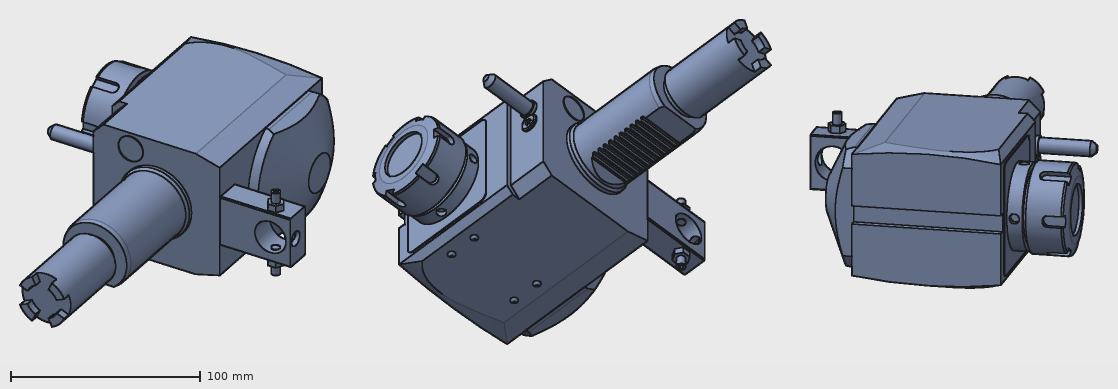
import cadquery as cq
import math


total_length = 222.5

housing_height = 75.0
half_height = housing_height / 2
housing_depth = 105.0
front_depth = 24.3
front_left = -39.0
rear_left = -41.8
housing_right = 39.0
front_chamfer = 6.2
rear_chamfer = 4.2
taper_start_x = 24.0
taper_drop = 4.0
shoulder_z = half_height - taper_drop
spindle_y = 69.0

relief_left_y = 91.7
relief_right_y = 92.5
relief_crest = [(-30.5, 97.7), (-17.1, 101.0), (1.3, 99.0)]
relief_back_z = 36.3

key_slot_width = 10.0
key_slot_depth = 4.2
pad_length = 58.3
pad_height = 63.0
pad_radius = 4.2
pad_thickness = 0.5
plug_x = -16.0
plug_z = 27.5
plug_radius = 7.5
plug_recess = 0.5
grub_xs = (-30.0, 16.7)
grub_ys = (77.5, 60.5)
grub_radius = 2.2
grub_tip_radius = 0.7
grub_length = 1.5

nut_face = -74.5
nut_cone_back = -73.0
nut_edge_back = -71.9
nut_back = -52.7
collar_front = -50.5
nut_face_radius = 18.0
nut_edge_radius = 24.5
nut_radius = 25.0
groove_radius = 20.5
collar_radius = 23.8
collet_radius = 13.8
collet_recess = 2.0
slot_count = 6
slot_width = 6.2
slot_floor_radius = 21.8
slot_end = -61.6
upper_slot_end = -57.6
pin_hole_count = 4
pin_hole_x = -46.3
pin_hole_radius = 2.7
pin_hole_depth = 3.3

cover_radius = 39.8
cover_rim_x = 45.0
cover_end_x = 59.0
cover_end_radius = 11.1
cover_back_y = 100.5
cover_flat_z = 33.2
cover_facet_x = 41.0
cover_facet_slope = 0.26

tip_y = housing_depth - total_length
flange_radius = 21.5
flange_length = 2.2
flange_bevel_end = 3.8
shank_radius = 20.3
shank_length = 63.2
shank_chamfer_length = 3.0
shank_chamfer = 0.7
neck_radius = 12.2
neck_length = 3.5
coupling_radius = 15.0
lug_length = 4.7
lug_inner_radius = 9.8
lug_angle = 42
lug_count = 4

rack_flat_z = -15.8
rack_start = 9.8
notch_pitch = 4.0
notch_depth = 1.1
notch_half_width = 1.5
notch_half_root = 0.7
notch_count = 10
last_notch_y = -48.5

pin_y = 10.0
pin_z = 16.0
pin_radius = 4.2
pin_tip_x = -71.9
pin_tip_length = 3.0
pin_tip_radius = 2.0
pin_collar_radius = 5.1
pin_collar_length = 2.0
screw_z = 6.0
screw_radius = 5.1
screw_height = 1.5
socket_size = 4.0
socket_depth = 1.3

arm_right = 82.1
arm_half_height = 15.1
arm_front = 0.5
arm_back = 16.0
arm_chamfer = 0.7
arm_hole_x = 69.9
arm_hole_radius = 9.5
stud_y = 6.0
stud_radius = 2.5
stud_start = 9.1
stud_end = 25.4
cross_hole_radius = 4.2
stud_socket_size = 2.7
stud_socket_depth = 2.2
hex_nut_size = 9.5
hex_nut_height = 4.0


def turned_on_x(profile, y, z=0):
    """Revolve a closed (x, radius) profile about an axis along X."""
    return cq.Workplane("XY").polyline(profile).close().revolve(360, (0, 0), (1, 0)).translate((0, y, z))


def both_sides(solid):
    """A solid together with its mirror image below Z = 0."""
    return solid.union(solid.mirror("XY"))


def housing_block(left, chamfer, y_start, y_end):
    half = [
        (left, half_height - chamfer),
        (left + chamfer, half_height),
        (taper_start_x, half_height),
        (housing_right, shoulder_z),
    ]
    outline = half + [(x, -z) for x, z in reversed(half)]
    block = cq.Workplane("XZ").polyline(outline).close().extrude(-(y_end - y_start))
    return block.translate((0, y_start, 0))


def back_relief():
    """Wedge between the top face and the back face, closed by a ruled surface."""
    ridge_left = rear_left + rear_chamfer
    top_left = cq.Vector(ridge_left, relief_left_y, half_height)
    top_right = cq.Vector(taper_start_x, relief_right_y, half_height)
    crest = [cq.Vector(x, y, half_height) for x, y in relief_crest]
    back_left = cq.Vector(rear_left, housing_depth, half_height - rear_chamfer)
    back_right = cq.Vector(housing_right, housing_depth, shoulder_z)
    back_middle = cq.Vector((rear_left + housing_right) / 2, housing_depth, relief_back_z)
    corner_left = cq.Vector(ridge_left, housing_depth, half_height)
    corner_right = cq.Vector(taper_start_x, housing_depth, half_height)

    top_curve = cq.Edge.makeSpline([top_left] + crest + [top_right])
    back_curve = cq.Edge.makeThreePointArc(back_left, back_middle, back_right)

    def flat_face(points, curves=()):
        lines = [cq.Edge.makeLine(a, b) for a, b in zip(points, points[1:])]
        return cq.Face.makeFromWires(cq.Wire.assembleEdges(lines + list(curves)))

    faces = [
        cq.Face.makeRuledSurface(top_curve, back_curve),
        flat_face([top_right, corner_right, corner_left, top_left], [top_curve]),
        flat_face([back_right, corner_right, corner_left, back_left], [back_curve]),
        flat_face([top_left, corner_left, back_left, top_left]),
        flat_face([top_right, corner_right, back_right, top_right]),
    ]
    wedge = cq.Solid.makeSolid(cq.Shell.makeShell(faces))
    return cq.Workplane(wedge.fix())


def housing():
    body = housing_block(front_left, front_chamfer, 0, front_depth)
    body = body.union(housing_block(rear_left, rear_chamfer, front_depth, housing_depth))
    body = body.cut(both_sides(back_relief()))
    key_slot = cq.Workplane("XY").box(2 * (housing_right - rear_left), 2 * key_slot_depth, key_slot_width)
    body = body.cut(key_slot.translate((0, housing_depth, 0)))
    pad = cq.Workplane("YZ").rect(pad_length, pad_height).extrude(-pad_thickness)
    pad = pad.edges("|X").fillet(pad_radius).translate((rear_left, spindle_y, 0))
    plug = cq.Workplane("XZ").center(plug_x, plug_z).circle(plug_radius).extrude(-plug_recess)
    body = body.union(pad).cut(plug)
    for x in grub_xs:
        for y in grub_ys:
            tip = cq.Solid.makeCone(
                grub_radius, grub_tip_radius, grub_length, cq.Vector(x, y, -half_height), cq.Vector(0, 0, -1)
            )
            body = body.union(cq.Workplane(tip))
    return body


def collet_nut():
    nut = turned_on_x([
        (rear_left, 0),
        (nut_face + collet_recess, 0),
        (nut_face + collet_recess, collet_radius),
        (nut_face, collet_radius),
        (nut_face, nut_face_radius),
        (nut_cone_back, nut_edge_radius),
        (nut_edge_back, nut_radius),
        (nut_back, nut_radius),
        (nut_back, groove_radius),
        (collar_front, groove_radius),
        (collar_front, collar_radius),
        (rear_left, collar_radius),
    ], spindle_y)
    axis_start = (0, spindle_y, 0)
    axis_end = (1, spindle_y, 0)

    for i in range(slot_count):
        angle = 90 + i * 360 / slot_count
        slot_height = nut_radius * math.cos(math.radians(angle))
        end = upper_slot_end if slot_height > slot_width else slot_end
        slot = cq.Workplane("XY").workplane(offset=slot_floor_radius).center(nut_face, spindle_y)
        slot = slot.slot2D(2 * (end - nut_face), slot_width).extrude(nut_radius)
        nut = nut.cut(slot.rotate(axis_start, axis_end, angle))

    pin_hole = cq.Workplane("XY").workplane(offset=collar_radius - pin_hole_depth)
    pin_hole = pin_hole.center(pin_hole_x, spindle_y).circle(pin_hole_radius).extrude(nut_radius)
    for i in range(pin_hole_count):
        nut = nut.cut(pin_hole.rotate(axis_start, axis_end, i * 360 / pin_hole_count))
    return nut


def gear_cover():
    cover = turned_on_x([
        (housing_right, 0),
        (housing_right, cover_radius),
        (cover_rim_x, cover_radius),
        (cover_end_x, cover_end_radius),
        (cover_end_x, 0),
    ], spindle_y)
    end_z = cover_flat_z - cover_facet_slope * (cover_end_x - cover_facet_x)
    half = [
        (housing_right, cover_flat_z),
        (cover_facet_x, cover_flat_z),
        (cover_end_x, end_z),
    ]
    outline = half + [(x, -z) for x, z in reversed(half)]
    envelope = cq.Workplane("XZ").polyline(outline).close().extrude(-cover_back_y)
    return cover.intersect(envelope)


def shank():
    neck_start = -shank_length
    coupling_start = neck_start - neck_length
    body = cq.Workplane("XY").polyline([
        (0, 0),
        (flange_radius, 0),
        (flange_radius, -flange_length),
        (shank_radius, -flange_bevel_end),
        (shank_radius, neck_start + shank_chamfer_length),
        (shank_radius - shank_chamfer, neck_start),
        (neck_radius, neck_start),
        (neck_radius, coupling_start),
        (coupling_radius, coupling_start),
        (coupling_radius, tip_y),
        (0, tip_y),
    ]).close().revolve(360, (0, 0), (0, 1))
    return body.cut(rack()).cut(coupling_gaps())


def rack():
    """Material removed under the shank: a flat with a run-out and a row of notches."""
    depth = flange_radius + rack_flat_z
    outline = [(-rack_start + depth, rack_flat_z - depth), (-rack_start, rack_flat_z)]
    for i in reversed(range(notch_count)):
        y = last_notch_y + i * notch_pitch
        outline += [
            (y + notch_half_width, rack_flat_z),
            (y + notch_half_root, rack_flat_z + notch_depth),
            (y - notch_half_root, rack_flat_z + notch_depth),
            (y - notch_half_width, rack_flat_z),
        ]
    outline += [(-shank_length, rack_flat_z), (-shank_length, rack_flat_z - depth)]
    return cq.Workplane("YZ").polyline(outline).close().extrude(shank_radius, both=True)


def coupling_gaps():
    """Material removed from the tip of the coupling: the middle and the gaps between the lugs."""
    cutter_radius = 2 * coupling_radius
    half_gap = math.radians(360 / lug_count - lug_angle) / 2
    side_x = cutter_radius * math.cos(half_gap)
    side_z = cutter_radius * math.sin(half_gap)
    gaps = cq.Workplane("XZ").circle(lug_inner_radius).extrude(lug_length)
    triangle = [(0, 0), (side_x, -side_z), (side_x, side_z)]
    gap = cq.Workplane("XZ").polyline(triangle).close().extrude(lug_length)
    for i in range(lug_count):
        gaps = gaps.union(gap.rotate((0, 0, 0), (0, 1, 0), i * 360 / lug_count))
    return gaps.translate((0, tip_y + lug_length, 0))


def coolant_pin():
    collar_x = front_left - pin_collar_length
    return turned_on_x([
        (front_left, 0),
        (front_left, pin_collar_radius),
        (collar_x, pin_collar_radius),
        (collar_x, pin_radius),
        (pin_tip_x + pin_tip_length, pin_radius),
        (pin_tip_x, pin_tip_radius),
        (pin_tip_x, 0),
    ], pin_y, pin_z)


def plug_screw():
    head = cq.Workplane("YZ").circle(screw_radius).extrude(-screw_height)
    head = head.faces("<X").chamfer(screw_height / 2)
    socket = cq.Workplane("YZ").workplane(offset=-screw_height).polygon(6, socket_size).extrude(socket_depth)
    return head.cut(socket).translate((front_left, pin_y, screw_z))


def support_arm():
    arm = cq.Workplane("XY").box(
        arm_right - housing_right, arm_back - arm_front, 2 * arm_half_height, centered=(False, False, True)
    )
    arm = arm.edges("|X").chamfer(arm_chamfer).translate((housing_right, arm_front, 0))
    hole = cq.Workplane("XZ").center(arm_hole_x, 0).circle(arm_hole_radius).extrude(-2 * arm_back)
    cross_hole = cq.Workplane("YZ").workplane(offset=arm_hole_x).center(stud_y, 0)
    cross_hole = cross_hole.circle(cross_hole_radius).extrude(arm_right - arm_hole_x)
    stud = cq.Workplane("XY").workplane(offset=stud_start).circle(stud_radius)
    stud = stud.extrude(stud_end - stud_start)
    hex_nut = cq.Workplane("XY").workplane(offset=arm_half_height).polygon(6, hex_nut_size)
    hex_nut = hex_nut.extrude(hex_nut_height)
    socket = cq.Workplane("XY").workplane(offset=stud_end).polygon(6, stud_socket_size)
    socket = socket.extrude(-stud_socket_depth)
    clamp = stud.union(hex_nut).cut(socket).translate((arm_hole_x, stud_y, 0))
    return arm.cut(hole).cut(cross_hole).union(both_sides(clamp))


result = housing()
for piece in (collet_nut(), gear_cover(), shank(), coolant_pin(), plug_screw(), support_arm()):
    result = result.union(piece)